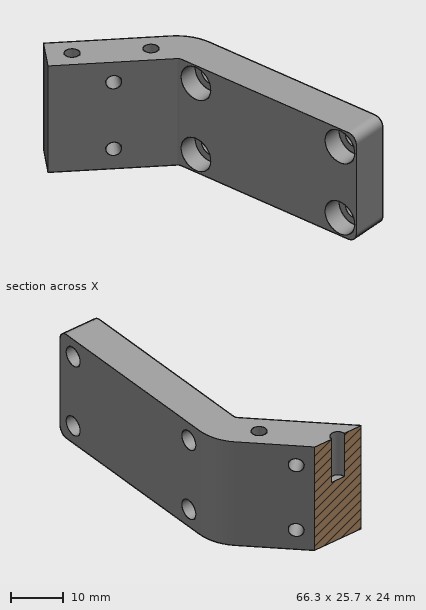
import cadquery as cq
import math

thickness = 8.0
height = 24.0
plate_length = 43.0
leg_length = 25.0
bend_angle = math.radians(45)
inner_bend_radius = 1.0
outer_bend_radius = 10.0
end_corner_radius = 2.0

screw_diameter = 4.2
counterbore_diameter = 7.2
counterbore_depth = 4.2
screw_edge_distance = 4.0
screw_spacing_x = 35.0

leg_hole_diameter = 3.0
leg_hole_spacing = 15.0
end_hole_depth = 10.0

along_leg = cq.Vector(-math.cos(bend_angle), -math.sin(bend_angle), 0)
across_leg = cq.Vector(-math.sin(bend_angle), math.cos(bend_angle), 0)

inner_corner = cq.Vector(-plate_length, -thickness, 0)
inner_leg_end = inner_corner + along_leg * leg_length
outer_leg_end = inner_leg_end + across_leg * thickness
outer_corner = cq.Vector(-plate_length - thickness * math.tan(bend_angle / 2), 0, 0)
leg_center = inner_corner + along_leg * (leg_length / 2) + across_leg * (thickness / 2)


def vertical_edge_at(point):
    """Selector for the full-height edge through a profile corner."""
    return cq.selectors.NearestToPointSelector((point.x, point.y, 0))


def make_bent_bar():
    corners = [
        cq.Vector(0, 0, 0),
        outer_corner,
        outer_leg_end,
        inner_leg_end,
        inner_corner,
        cq.Vector(0, -thickness, 0),
    ]
    bar = (
        cq.Workplane("XY")
        .polyline([(corner.x, corner.y) for corner in corners])
        .close()
        .extrude(height / 2, both=True)
    )
    bar = bar.edges("|Z").edges(vertical_edge_at(outer_corner)).fillet(outer_bend_radius)
    bar = bar.edges("|Z").edges(vertical_edge_at(inner_corner)).fillet(inner_bend_radius)
    return bar.faces(">X").edges("|Y").fillet(end_corner_radius)


def cut_screw_holes(body):
    """Four screw holes through the plate, counterbored from the -Y face."""
    first_x = -screw_edge_distance
    screw_z = height / 2 - screw_edge_distance
    into_plate = cq.Vector(0, 1, 0)
    for x in (first_x, first_x - screw_spacing_x):
        for z in (-screw_z, screw_z):
            start = cq.Vector(x, -thickness, z)
            hole = cq.Solid.makeCylinder(screw_diameter / 2, thickness, start, into_plate)
            counterbore = cq.Solid.makeCylinder(
                counterbore_diameter / 2, counterbore_depth, start, into_plate
            )
            body = body.cut(hole).cut(counterbore)
    return body


def cut_leg_cross_holes(body):
    """Two holes through the leg's thickness, one above the other at mid length."""
    start = leg_center - across_leg * (thickness / 2)
    for z in (-leg_hole_spacing / 2, leg_hole_spacing / 2):
        hole = cq.Solid.makeCylinder(
            leg_hole_diameter / 2, thickness, start + cq.Vector(0, 0, z), across_leg
        )
        body = body.cut(hole)
    return body


def cut_leg_end_holes(body):
    """Two blind holes down into the leg's top face, along its middle line."""
    top = cq.Vector(0, 0, height / 2)
    for offset in (-leg_hole_spacing / 2, leg_hole_spacing / 2):
        start = leg_center + along_leg * offset + top
        hole = cq.Solid.makeCylinder(
            leg_hole_diameter / 2, end_hole_depth, start, cq.Vector(0, 0, -1)
        )
        body = body.cut(hole)
    return body


result = make_bent_bar()
result = cut_screw_holes(result)
result = cut_leg_cross_holes(result)
result = cut_leg_end_holes(result)